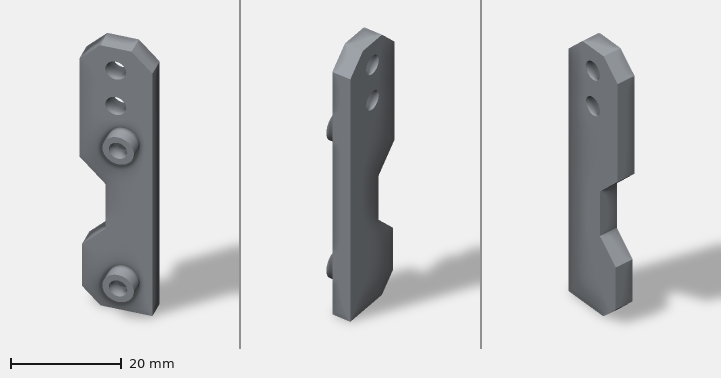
import cadquery as cq

length = 58.5
width = 14.0
thickness = 4.0
top_chamfer = 4.0

notch_depth = 5.05
notch_top = 27.5
notch_bottom = 17.5
foot_inset = 0.5
foot_chamfer = 3.5

hole_diameter = 4.0
hole_heights = (45.6, 53.5)

boss_diameter = 6.0
boss_length = 3.05
boss_x = 8.5
boss_heights = (7.0, 37.95)
bore_diameter = 3.5
bore_depth = boss_length


def make_plate():
    outline = [
        (foot_inset + foot_chamfer, 0),
        (width, 0),
        (width, length - top_chamfer),
        (width - top_chamfer, length),
        (top_chamfer, length),
        (0, length - top_chamfer),
        (0, notch_top + notch_depth),
        (notch_depth, notch_top),
        (notch_depth, notch_bottom),
        (foot_inset, notch_bottom - (notch_depth - foot_inset)),
        (foot_inset, foot_chamfer),
    ]
    return cq.Workplane("XZ").polyline(outline).close().extrude(-thickness)


def front_cylinders(x, heights, diameter, start_y, depth):
    """Cylinders that start at start_y and run toward +Y."""
    centers = [(x, z) for z in heights]
    plane = cq.Workplane("XZ", origin=(0, start_y, 0))
    return plane.pushPoints(centers).circle(diameter / 2).extrude(-depth)


plate = make_plate()
holes = front_cylinders(width / 2, hole_heights, hole_diameter, 0, thickness)
bosses = front_cylinders(boss_x, boss_heights, boss_diameter, -boss_length, boss_length)
bores = front_cylinders(boss_x, boss_heights, bore_diameter, -boss_length, bore_depth)

result = plate.cut(holes).union(bosses).cut(bores)